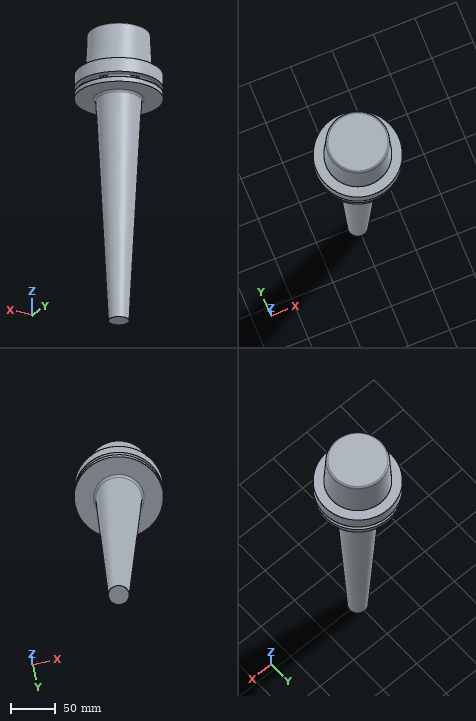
import math

import cadquery as cq

PROFILE_PLANE = cq.Plane(origin=(0, 0, 0), xDir=(0, -1, 0), normal=(-1, 0, 0))

SHANK_HEIGHT = 50.0
FLANGE_HEIGHT = 29.0
STEM_REACH = 300.0

SHANK_BASE_RADIUS = 38.0
SHANK_TAPER = 1 / 20
SHANK_HALF_ANGLE = math.atan(SHANK_TAPER)
RIM_FILLET = 2.0

FLANGE_RADIUS = 50.0
GROOVE_CENTRE_DEPTH = 20.0
GROOVE_MOUTH_WIDTH = 6.4
GROOVE_FLOOR_WIDTH = 3.0
GROOVE_FLOOR_RADIUS = 46.0
GROOVE_FILLET = 1.0

STEM_TIP_RADIUS = 11.75
STEM_HALF_ANGLE = math.radians(3.0)
STEM_FILLET = 2.5

STEM_TOP_RADIUS = STEM_TIP_RADIUS + (STEM_REACH - FLANGE_HEIGHT) * math.tan(STEM_HALF_ANGLE)


def revolve_profile(profile):
    """Revolve a closed half-profile a full turn about the Z axis."""
    return profile.close().revolve(360, (0, 0), (0, 1))


def make_shank():
    """Tapered shank with a rounded top rim."""
    arc_centre_z = SHANK_HEIGHT - RIM_FILLET
    side_radius = SHANK_BASE_RADIUS - SHANK_TAPER * arc_centre_z
    arc_centre_x = side_radius - RIM_FILLET / math.cos(SHANK_HALF_ANGLE)

    def arc_point(angle):
        return (
            arc_centre_x + RIM_FILLET * math.cos(angle),
            arc_centre_z + RIM_FILLET * math.sin(angle),
        )

    mid_angle = (SHANK_HALF_ANGLE + math.pi / 2) / 2
    return revolve_profile(
        cq.Workplane(PROFILE_PLANE)
        .lineTo(SHANK_BASE_RADIUS, 0)
        .lineTo(*arc_point(SHANK_HALF_ANGLE))
        .threePointArc(arc_point(mid_angle), arc_point(math.pi / 2))
        .lineTo(0, SHANK_HEIGHT)
    )


def make_flange():
    """Round flange with the gripper groove around its rim."""
    half_mouth = GROOVE_MOUTH_WIDTH / 2
    half_floor = GROOVE_FLOOR_WIDTH / 2
    outline = [
        (0, 0),
        (FLANGE_RADIUS, 0),
        (FLANGE_RADIUS, -GROOVE_CENTRE_DEPTH + half_mouth),
        (GROOVE_FLOOR_RADIUS, -GROOVE_CENTRE_DEPTH + half_floor),
        (GROOVE_FLOOR_RADIUS, -GROOVE_CENTRE_DEPTH - half_floor),
        (FLANGE_RADIUS, -GROOVE_CENTRE_DEPTH - half_mouth),
        (FLANGE_RADIUS, -FLANGE_HEIGHT),
        (0, -FLANGE_HEIGHT),
    ]
    flange = revolve_profile(cq.Workplane(PROFILE_PLANE).polyline(outline))
    floor_edges = cq.selectors.RadiusNthSelector(0)
    return flange.edges("%CIRCLE").edges(floor_edges).fillet(GROOVE_FILLET)


def make_stem():
    """Conical stem with a concave fillet where it meets the flange."""
    turn = math.pi / 2 - STEM_HALF_ANGLE
    tangent_length = STEM_FILLET * math.tan(turn / 2)
    arc_centre_x = STEM_TOP_RADIUS + tangent_length
    arc_centre_z = -FLANGE_HEIGHT - STEM_FILLET

    def arc_point(angle):
        return (
            arc_centre_x + STEM_FILLET * math.cos(angle),
            arc_centre_z + STEM_FILLET * math.sin(angle),
        )

    end_angle = math.pi / 2 + turn
    mid_angle = math.pi / 2 + turn / 2
    return revolve_profile(
        cq.Workplane(PROFILE_PLANE)
        .moveTo(0, -FLANGE_HEIGHT)
        .lineTo(arc_centre_x, -FLANGE_HEIGHT)
        .threePointArc(arc_point(mid_angle), arc_point(end_angle))
        .lineTo(STEM_TIP_RADIUS, -STEM_REACH)
        .lineTo(0, -STEM_REACH)
    )


result = make_shank().union(make_flange()).union(make_stem())